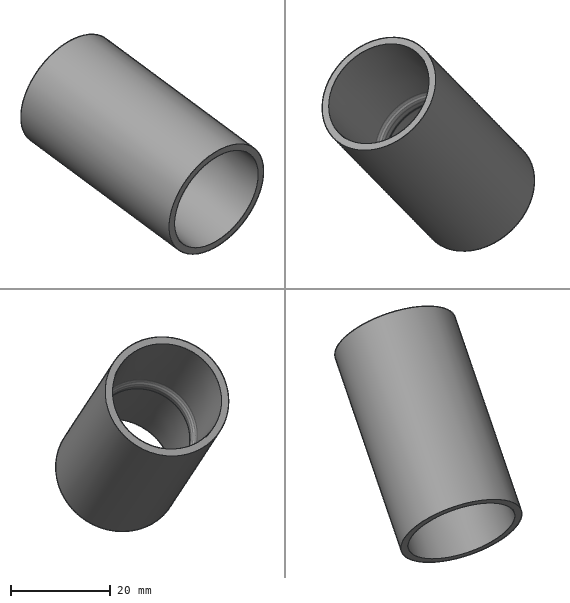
import cadquery as cq

length = 45.0
outer_diameter = 25.6
mouth_diameter = 22.6
socket_end_diameter = 21.8
stop_diameter = 20.0
stop_width = 1.8
stop_ramp = 0.9
ramp_fillet = 0.9

half_length = length / 2
stop_edge = stop_width / 2
socket_end = stop_edge + stop_ramp


def bore_edges(distance, diameter):
    """Select the circular bore edges on both sides of the middle."""
    radius = diameter / 2
    reach = 0.05
    boxes = [
        cq.selectors.BoxSelector(
            (side * distance - reach, -radius - reach, -radius - reach),
            (side * distance + reach, radius + reach, radius + reach),
            boundingbox=True,
        )
        for side in (-1, 1)
    ]
    return boxes[0] + boxes[1]


wall_section = (
    cq.Workplane("XY")
    .moveTo(-half_length, outer_diameter / 2)
    .lineTo(-half_length, mouth_diameter / 2)
    .lineTo(-socket_end, socket_end_diameter / 2)
    .lineTo(-stop_edge, stop_diameter / 2)
    .lineTo(stop_edge, stop_diameter / 2)
    .lineTo(socket_end, socket_end_diameter / 2)
    .lineTo(half_length, mouth_diameter / 2)
    .lineTo(half_length, outer_diameter / 2)
    .close()
)
sleeve = wall_section.revolve(360, (0, 0, 0), (1, 0, 0))

ramp_roots = bore_edges(socket_end, socket_end_diameter)
ramp_crests = bore_edges(stop_edge, stop_diameter)
result = sleeve.edges(ramp_roots + ramp_crests).fillet(ramp_fillet)